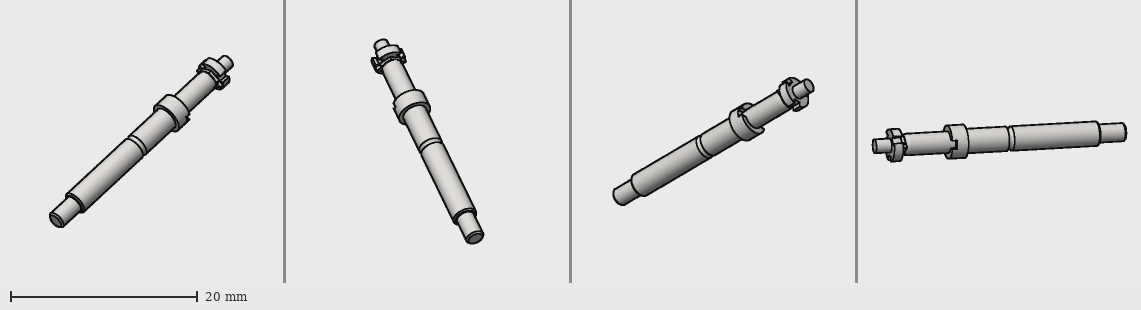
import cadquery as cq

total_length = 28.0
disc_start = 1.7
disc_end = 2.72
cam_end = 3.15
neck_end = 3.67
collar_start = 8.2
collar_end = 10.0
groove_middle = 15.0
body_end = 25.0

tail_radius = 1.5 / 2
disc_radius = 3.5 / 2
neck_radius = 2.18 / 2
shaft_radius = 2.35 / 2
collar_radius = 3.6 / 2
body_radius = 2.65 / 2
plunger_radius = 2.0 / 2

body_chamfer = 0.17
plunger_chamfer = 0.2
groove_width = 0.6
groove_depth = 0.17

slot_width = 0.8
slot_floor = shaft_radius
slot_angles = (30, 150, 270)

cam_ridge = neck_radius
cam_shoulder_top = (1.15, 0.42)
cam_shoulder_foot = (1.2, 0.28)
cam_tip = 1.68

notch_width = 0.92
notch_depth = 0.53


def station(distance):
    """Y coordinate of a point at the given distance from the tail end."""
    return total_length / 2 - distance


def section_plane(distance):
    """Plane across the pin whose local axes are X and Z, extruding toward -Y."""
    return cq.Workplane("XZ", origin=(0, station(distance), 0))


def cylinder(radius, start, end):
    return section_plane(start).circle(radius).extrude(end - start)


def make_tail_and_shaft():
    """Thin tail, core under the disc and cam, tapered neck and shaft."""
    profile = [
        (0, station(0)),
        (tail_radius, station(0)),
        (tail_radius, station(cam_end)),
        (neck_radius, station(cam_end)),
        (shaft_radius, station(neck_end)),
        (shaft_radius, station(collar_end)),
        (0, station(collar_end)),
    ]
    return cq.Workplane("XY").polyline(profile).close().revolve(360, (0, 0), (0, 1))


def make_disc():
    """Disc with flat-bottomed slots cut into its rim."""
    disc = cylinder(disc_radius, disc_start, disc_end)
    slot_length = disc_radius
    for angle in slot_angles:
        slot = (
            section_plane(disc_start)
            .transformed(rotate=(0, 0, angle))
            .center(slot_floor + slot_length / 2, 0)
            .rect(slot_length, slot_width)
            .extrude(disc_end - disc_start)
        )
        disc = disc.cut(slot)
    return disc


def make_cam():
    """Two-winged plate: stepped sloping flats above, plain ones below."""
    right_side = [cam_shoulder_top, cam_shoulder_foot, (cam_tip, 0)]
    left_side = [(-x, z) for x, z in reversed(right_side)]
    outline = [(0, cam_ridge)] + right_side + [(0, -cam_ridge)] + left_side
    return section_plane(disc_end).polyline(outline).close().extrude(cam_end - disc_end)


def make_collar():
    """Collar with a notch running across it along X."""
    collar = cylinder(collar_radius, collar_start, collar_end)
    notch = (
        section_plane(collar_start)
        .rect(2 * collar_radius, notch_width)
        .extrude(notch_depth)
    )
    return collar.cut(notch)


def make_body():
    """Main barrel with a round groove and a chamfered end, then the plunger."""
    groove_floor = body_radius - groove_depth
    body = (
        cq.Workplane("XY")
        .moveTo(0, station(collar_end))
        .lineTo(body_radius, station(collar_end))
        .lineTo(body_radius, station(groove_middle - groove_width / 2))
        .threePointArc(
            (groove_floor, station(groove_middle)),
            (body_radius, station(groove_middle + groove_width / 2)),
        )
        .lineTo(body_radius, station(body_end - body_chamfer))
        .lineTo(body_radius - body_chamfer, station(body_end))
        .lineTo(plunger_radius, station(body_end))
        .lineTo(plunger_radius, station(total_length - plunger_chamfer))
        .lineTo(plunger_radius - plunger_chamfer, station(total_length))
        .lineTo(0, station(total_length))
        .close()
    )
    return body.revolve(360, (0, 0), (0, 1))


result = (
    make_tail_and_shaft()
    .union(make_disc())
    .union(make_cam())
    .union(make_collar())
    .union(make_body())
)